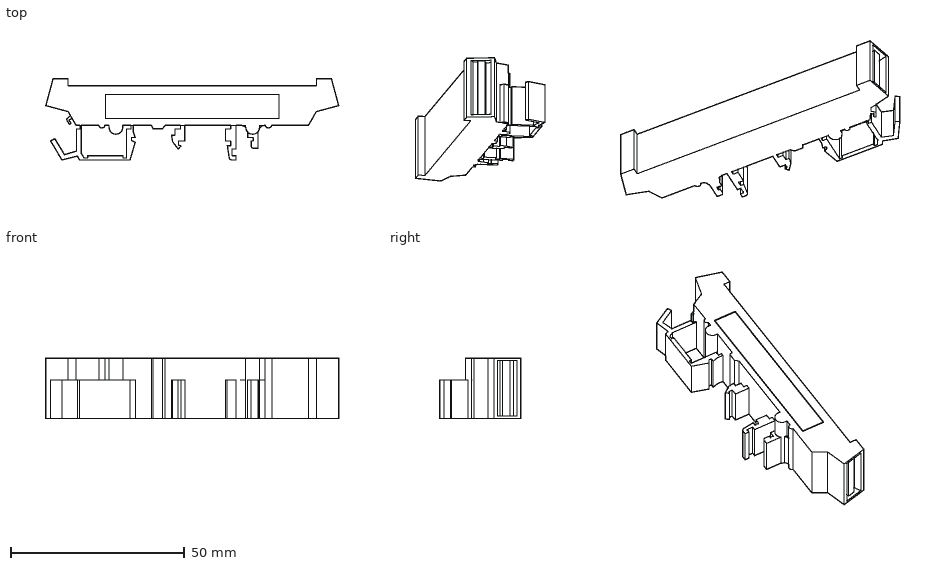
import cadquery as cq
import math

HALF_LENGTH = 42.32
HOUSING_HEIGHT = 17.5
EAR_Y = 13.5
BACK_Y = 11.5
FOOT_DEPTH = 10.0
CLIP_HEIGHT = 11.2
OVERLAP = 0.5

END_TILT = 15.0
FLANK_TILT = 60.0
EAR_INNER_X = 35.85
TIP_Y = 5.7
KNEE_Y = TIP_Y - (HALF_LENGTH - EAR_INNER_X) * math.tan(math.radians(END_TILT))
EAR_OUTER_X = HALF_LENGTH - (EAR_Y - TIP_Y) * math.tan(math.radians(END_TILT))
FACE_HALF_LENGTH = EAR_INNER_X - KNEE_Y / math.tan(math.radians(FLANK_TILT))

LABEL_LENGTH = 50.2
LABEL_Y_MIN = 2.0
LABEL_Y_MAX = 8.9
LABEL_DEPTH = 0.3

POCKET_WALL = 0.75
POCKET_START = 1.07
POCKET_END = 6.83
POCKET_PROFILE = [
    (POCKET_START, -OVERLAP),
    (POCKET_END, -OVERLAP),
    (POCKET_END, 0),
    (6.44, 1.45),
    (6.39, 2.2),
    (5.03, 2.2),
    (5.03, 1.0),
    (2.89, 1.0),
    (2.70, 3.2),
    (POCKET_START, 3.2),
]

LARGE_RIB_RADIUS = 2.0
LARGE_RIB_REACH = 2.55
LARGE_RIB_XS = (-22.05, 17.45)
SMALL_RIB_REACH = 0.75
LEFT_SMALL_RIB_X = -26.1
LEFT_SMALL_RIB_RADIUS = 0.9
RIGHT_SMALL_RIB_X = 22.0
RIGHT_SMALL_RIB_RADIUS = 1.0
FLAT_RIB_REACH = 1.0
FLAT_RIB_BASE = (-11.8, -7.8)
FLAT_RIB_CREST = (-11.35, -8.65)

HOOK_ROOT = 1.3
HOOK_START = 1.65
HOOK_END = 3.35
HOOK_REACH = 1.55
HOOK_THICKNESS = 0.6

RELIEF = 1.0

POST_LEFT_X = -33.5
POST_RIGHT_X = -32.05
POST_NECK_X = -32.45
LATCH_LEFT_X = -19.05
LATCH_NECK_X = -17.75
LATCH_RIGHT_X = -17.0
LATCH_TIP_X = -16.45
NOTCH_X = -17.5
FLOOR_Y = -8.7
GROOVE_Y = -9.4
FLOOR_LEFT_X = -30.25
FLOOR_RIGHT_X = -20.0
POST_FOOT = (POST_RIGHT_X, -8.0)
GROOVE_LEFT_X = -31.2
SOLE_LEFT_X = -32.55
SOLE_RIGHT_X = -17.95
NOTCH_BOTTOM_Y = -4.3
NOTCH_TOP_Y = -3.55
LATCH_LOWER_Y = -4.9
LATCH_UPPER_Y = -1.85
LEVER_UPPER_SIDE = [(POST_LEFT_X, -7.4), (-36.9, -8.4), (-39.7, -3.8)]
LEVER_LOWER_SIDE = [(-40.95, -4.45), (-37.65, -FOOT_DEPTH), (-33.5, -8.95), (-33.15, -8.95)]

ROOT_RADIUS = 2.0


def prism(points, height):
    """Straight-sided solid standing on Z = 0."""
    return cq.Workplane("XY").polyline(points).close().extrude(height)


def housing():
    right_half = [
        (FACE_HALF_LENGTH, 0),
        (EAR_INNER_X, KNEE_Y),
        (HALF_LENGTH, TIP_Y),
        (EAR_OUTER_X, EAR_Y),
        (EAR_INNER_X, EAR_Y),
        (EAR_INNER_X, BACK_Y),
    ]
    left_half = [(-x, y) for x, y in reversed(right_half)]
    return prism(right_half + left_half, HOUSING_HEIGHT)


def label_recess():
    return (
        cq.Workplane("XY")
        .box(LABEL_LENGTH, LABEL_Y_MAX - LABEL_Y_MIN, LABEL_DEPTH, centered=(True, False, False))
        .translate((0, LABEL_Y_MIN, HOUSING_HEIGHT - LABEL_DEPTH))
    )


def end_pocket():
    """Pocket in the -X end face."""
    sine = math.sin(math.radians(END_TILT))
    cosine = math.cos(math.radians(END_TILT))
    points = [
        (-HALF_LENGTH + along * sine + depth * cosine, TIP_Y + along * cosine - depth * sine)
        for along, depth in POCKET_PROFILE
    ]
    return prism(points, HOUSING_HEIGHT - 2 * POCKET_WALL).translate((0, 0, POCKET_WALL))


def round_rib(x, radius, reach):
    """Full-height rib with a round crest."""
    center_y = radius - reach
    rib = cq.Workplane("XY").center(x, center_y).circle(radius).extrude(HOUSING_HEIGHT)
    if center_y < 0:
        sides = (
            cq.Workplane("XY")
            .box(2 * radius, OVERLAP - center_y, HOUSING_HEIGHT, centered=(True, False, False))
            .translate((x, center_y, 0))
        )
        rib = rib.union(sides)
    return rib


def flat_rib():
    points = [
        (FLAT_RIB_BASE[0], OVERLAP),
        (FLAT_RIB_BASE[0], 0),
        (FLAT_RIB_CREST[0], -FLAT_RIB_REACH),
        (FLAT_RIB_CREST[1], -FLAT_RIB_REACH),
        (FLAT_RIB_BASE[1], 0),
        (FLAT_RIB_BASE[1], OVERLAP),
    ]
    return prism(points, HOUSING_HEIGHT)


def flank_hook():
    """Small L-shaped hook on the left flank, thicker at its root."""
    sine = math.sin(math.radians(FLANK_TILT))
    cosine = math.cos(math.radians(FLANK_TILT))
    arm_end = HOOK_START + HOOK_THICKNESS
    finger_inside = HOOK_REACH - HOOK_THICKNESS
    profile = [
        (HOOK_ROOT, -OVERLAP),
        (HOOK_ROOT, 0),
        (HOOK_START, HOOK_REACH),
        (HOOK_END, HOOK_REACH),
        (HOOK_END, finger_inside),
        (arm_end, finger_inside),
        (arm_end, -OVERLAP),
    ]
    points = [
        (-EAR_INNER_X + along * cosine - out * sine, KNEE_Y - along * sine - out * cosine)
        for along, out in profile
    ]
    return prism(points, CLIP_HEIGHT)


def rail_foot():
    """U-shaped foot with a release lever on its left and a latch edge on its right."""
    points = [
        (POST_RIGHT_X, OVERLAP),
        (POST_NECK_X, OVERLAP),
        (POST_NECK_X, -RELIEF),
        (POST_LEFT_X, -RELIEF),
        *LEVER_UPPER_SIDE,
        *LEVER_LOWER_SIDE,
        (SOLE_LEFT_X, -FOOT_DEPTH),
        (SOLE_RIGHT_X, -FOOT_DEPTH),
        (LATCH_TIP_X, LATCH_LOWER_Y),
        (NOTCH_X, NOTCH_BOTTOM_Y),
        (NOTCH_X, NOTCH_TOP_Y),
        (LATCH_TIP_X, NOTCH_TOP_Y),
        (LATCH_RIGHT_X, LATCH_UPPER_Y),
        (LATCH_RIGHT_X, OVERLAP),
        (LATCH_NECK_X, OVERLAP),
        (LATCH_NECK_X, -RELIEF),
        (LATCH_LEFT_X, -RELIEF),
        (LATCH_LEFT_X, GROOVE_Y),
        (FLOOR_RIGHT_X, GROOVE_Y),
        (FLOOR_RIGHT_X, FLOOR_Y),
        (FLOOR_LEFT_X, FLOOR_Y),
        (FLOOR_LEFT_X, GROOVE_Y),
        (GROOVE_LEFT_X, GROOVE_Y),
        POST_FOOT,
    ]
    return prism(points, CLIP_HEIGHT)


def arrow_clip():
    """Middle clip, ending in a barbed point."""
    right_x = -2.15
    neck_x = -3.4
    shoulder_x = -5.0
    barb_y = -2.8
    notch_x = -3.95
    notch_y = -4.55
    hook_root_y = -5.65
    hook_tip = (-3.2, -5.9)
    point = (-4.05, -6.85)
    back_corner = (-5.7, -4.7)
    barb_x = -6.05
    points = [
        (right_x, OVERLAP),
        (right_x, notch_y),
        (notch_x, notch_y),
        (notch_x, hook_root_y),
        hook_tip,
        point,
        back_corner,
        (barb_x, barb_y),
        (shoulder_x, barb_y),
        (shoulder_x, -RELIEF),
        (neck_x, -RELIEF),
        (neck_x, OVERLAP),
    ]
    return prism(points, CLIP_HEIGHT)


def long_clip():
    """Long clip with a notch on each side and a rounded end."""
    left_x = 9.55
    right_x = 12.65
    neck_x = 11.1
    tooth_x = 10.1
    left_notch_bottom_y = -5.8
    left_notch_top_y = -4.55
    right_notch_x = 11.55
    right_notch_bottom_y = -8.7
    right_notch_top_y = -6.85
    end_x = 10.6
    end_radius = 0.9
    outline = (
        cq.Workplane("XY")
        .moveTo(right_x, OVERLAP)
        .lineTo(right_x, right_notch_top_y)
        .lineTo(right_notch_x, right_notch_top_y)
        .lineTo(right_notch_x, right_notch_bottom_y)
        .lineTo(right_x, right_notch_bottom_y)
        .lineTo(right_x, -FOOT_DEPTH)
        .lineTo(end_x + end_radius, -FOOT_DEPTH)
        .radiusArc((end_x, end_radius - FOOT_DEPTH), end_radius)
        .lineTo(tooth_x, left_notch_bottom_y)
        .lineTo(neck_x, left_notch_bottom_y)
        .lineTo(neck_x, left_notch_top_y)
        .lineTo(left_x, left_notch_top_y)
        .lineTo(left_x, -RELIEF)
        .lineTo(neck_x, -RELIEF)
        .lineTo(neck_x, OVERLAP)
    )
    return outline.close().extrude(CLIP_HEIGHT)


def short_clip():
    """Right-hand clip, filleted into the housing on both sides."""
    left_x = 16.0
    right_x = 19.05
    notch_x = 17.6
    tooth_x = 17.0
    notch_bottom_y = -4.45
    notch_top_y = -3.5
    end_y = -6.6
    end_radius = 0.7
    outline = (
        cq.Workplane("XY")
        .moveTo(right_x + ROOT_RADIUS, OVERLAP)
        .lineTo(right_x + ROOT_RADIUS, 0)
        .radiusArc((right_x, -ROOT_RADIUS), -ROOT_RADIUS)
        .lineTo(right_x, end_y)
        .lineTo(tooth_x + end_radius, end_y)
        .radiusArc((tooth_x, end_y + end_radius), end_radius)
        .lineTo(tooth_x, notch_bottom_y)
        .lineTo(notch_x, notch_bottom_y)
        .lineTo(notch_x, notch_top_y)
        .lineTo(left_x, notch_top_y)
        .lineTo(left_x, -ROOT_RADIUS)
        .radiusArc((left_x - ROOT_RADIUS, 0), -ROOT_RADIUS)
        .lineTo(left_x - ROOT_RADIUS, OVERLAP)
    )
    return outline.close().extrude(CLIP_HEIGHT)


pocket = end_pocket()
result = housing().cut(label_recess()).cut(pocket).cut(pocket.mirror("YZ"))
for rib_x in LARGE_RIB_XS:
    result = result.union(round_rib(rib_x, LARGE_RIB_RADIUS, LARGE_RIB_REACH))
result = result.union(round_rib(LEFT_SMALL_RIB_X, LEFT_SMALL_RIB_RADIUS, SMALL_RIB_REACH))
result = result.union(round_rib(RIGHT_SMALL_RIB_X, RIGHT_SMALL_RIB_RADIUS, SMALL_RIB_REACH))
for feature in (flat_rib(), flank_hook(), rail_foot(), arrow_clip(), long_clip(), short_clip()):
    result = result.union(feature)